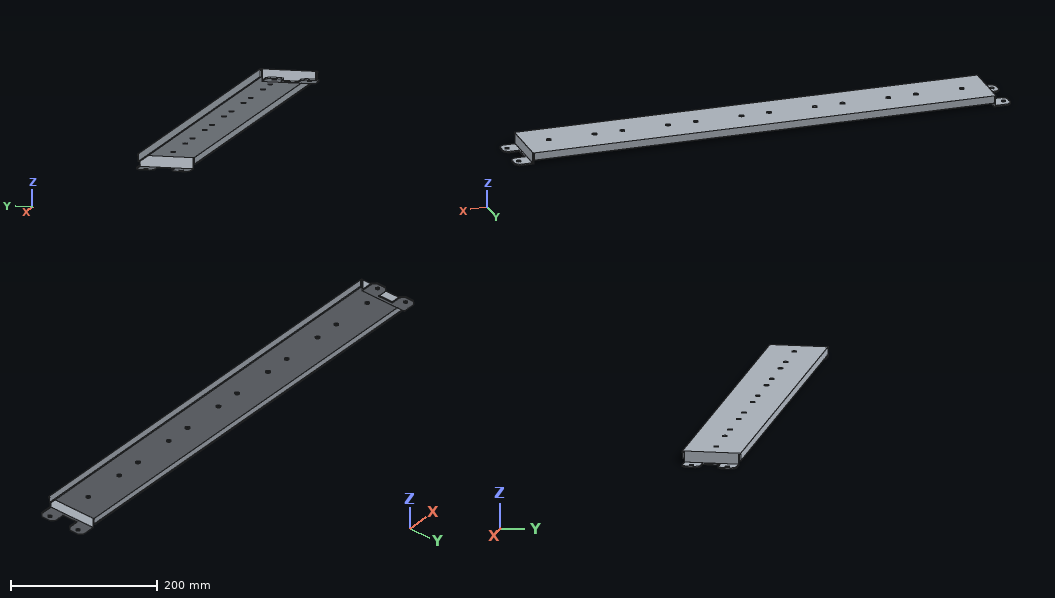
import cadquery as cq

overall_length = 716.0
overall_width = 81.4
overall_height = 17.5
sheet = 2.0

plate_length = 668.7
side_height = 11.1
end_width = 75.4
side_length = plate_length - 2 * sheet

foot_width = 25.4
foot_corner_chamfer = 5.3
foot_hole_diameter = 5.8
foot_hole_edge_distance = 8.0
bend_lip = 2.5

plate_hole_diameter = 6.5
hole_pair_count = 6
hole_pair_pitch = 106.0
hole_pair_spacing = 66.0

foot_bottom = -overall_height
foot_length = (overall_length - plate_length) / 2
foot_center_y = (end_width - foot_width) / 2
foot_hole_x = overall_length / 2 - foot_hole_edge_distance


def block(length, width, height, x, y, bottom):
    """Box centred on (x, y) and standing on the given Z level."""
    return cq.Workplane("XY").box(length, width, height, centered=(True, True, False)).translate((x, y, bottom))


def make_channel():
    """Top plate, two long side flanges and two deeper end flanges."""
    channel = block(plate_length, overall_width, sheet, 0, 0, -sheet)
    for side in (-1, 1):
        side_y = side * (overall_width - sheet) / 2
        channel = channel.union(block(side_length, sheet, side_height, 0, side_y, -side_height))
        end_x = side * (plate_length - sheet) / 2
        channel = channel.union(block(sheet, end_width, overall_height, end_x, 0, foot_bottom))
    return channel


def make_foot(end, side):
    """Flat foot with chamfered tip corners, reaching out from one end flange."""
    foot_x = end * (overall_length - foot_length - sheet) / 2
    foot = block(foot_length + sheet, foot_width, sheet, foot_x, side * foot_center_y, foot_bottom)
    tip_face = foot.faces(">X" if end > 0 else "<X")
    return tip_face.edges("|Z").chamfer(foot_corner_chamfer)


def make_bend_lip(end):
    """Narrow lip joining the roots of the two feet."""
    lip_x = end * (plate_length + bend_lip - sheet) / 2
    return block(bend_lip + sheet, end_width, sheet, lip_x, 0, foot_bottom)


def drill(body, points, diameter):
    """Cut vertical through holes at the given points."""
    holes = cq.Workplane("XY").pushPoints(points).circle(diameter / 2).extrude(-overall_height)
    return body.cut(holes)


def plate_hole_points():
    """Both holes of every pair, symmetric about the middle of the plate."""
    points = []
    for pair in range(hole_pair_count):
        pair_x = (pair - (hole_pair_count - 1) / 2) * hole_pair_pitch
        points.append((pair_x - hole_pair_spacing / 2, 0))
        points.append((pair_x + hole_pair_spacing / 2, 0))
    return points


bracket = make_channel()
for end in (-1, 1):
    bracket = bracket.union(make_bend_lip(end))
    for side in (-1, 1):
        bracket = bracket.union(make_foot(end, side))

foot_hole_points = [(end * foot_hole_x, side * foot_center_y) for end in (-1, 1) for side in (-1, 1)]
bracket = drill(bracket, foot_hole_points, foot_hole_diameter)
result = drill(bracket, plate_hole_points(), plate_hole_diameter)